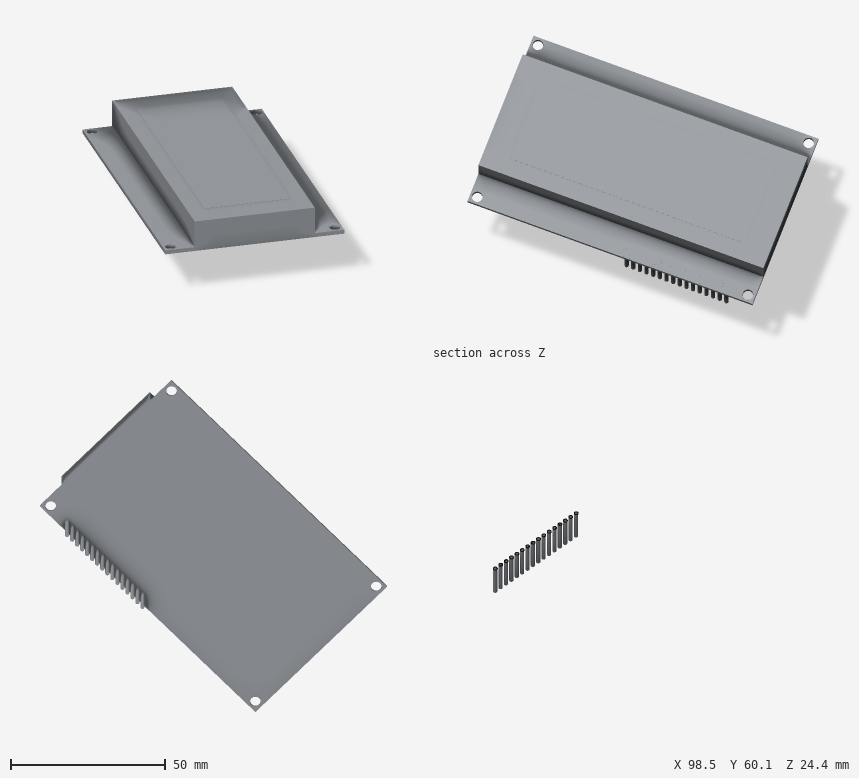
import cadquery as cq

BOARD_LENGTH = 98.5
BOARD_WIDTH = 60.1
BOARD_THICKNESS = 1.4

HOUSING_WIDTH = 40.3
HOUSING_HEIGHT = 9.1
WINDOW_LENGTH = 81.0
WINDOW_WIDTH = 28.8
WINDOW_HEIGHT = 0.1

PAD_HEIGHT = 0.02

HOLE_DIAMETER = 3.4
HOLE_PAD_DIAMETER = 4.1
EDGE_OFFSET = 2.5

PIN_COUNT = 16
PIN_ROW_LENGTH = 34.5
PIN_PITCH = PIN_ROW_LENGTH / (PIN_COUNT - 1)
PIN_DIAMETER = 1.4
PIN_LENGTH = 13.8
FIRST_PIN_OFFSET = 9.9

PIN_PAD_LENGTH = 2.0
PIN_PAD_WIDTH = 3.3
PIN_PAD_SHIFT = 0.4

first_pin_x = FIRST_PIN_OFFSET - BOARD_LENGTH / 2
row_y = BOARD_WIDTH / 2 - EDGE_OFFSET
hole_x = BOARD_LENGTH / 2 - EDGE_OFFSET

pin_centres = [(first_pin_x + i * PIN_PITCH, row_y) for i in range(PIN_COUNT)]
hole_centres = [(sx * hole_x, sy * row_y) for sx in (-1, 1) for sy in (-1, 1)]


def board_top():
    return cq.Workplane("XY", origin=(0, 0, BOARD_THICKNESS))


def make_board():
    return cq.Workplane("XY").rect(BOARD_LENGTH, BOARD_WIDTH).extrude(BOARD_THICKNESS)


def make_housing():
    body = board_top().rect(BOARD_LENGTH, HOUSING_WIDTH).extrude(HOUSING_HEIGHT)
    return body.faces(">Z").workplane().rect(WINDOW_LENGTH, WINDOW_WIDTH).extrude(WINDOW_HEIGHT)


def make_hole_pads():
    return board_top().pushPoints(hole_centres).circle(HOLE_PAD_DIAMETER / 2).extrude(PAD_HEIGHT)


def make_mounting_holes():
    depth = BOARD_THICKNESS + PAD_HEIGHT
    return cq.Workplane("XY").pushPoints(hole_centres).circle(HOLE_DIAMETER / 2).extrude(depth)


def make_pin_pads():
    pad_centres = [(x, y + PIN_PAD_SHIFT) for x, y in pin_centres]
    pads = board_top().pushPoints(pad_centres).rect(PIN_PAD_LENGTH, PIN_PAD_WIDTH).extrude(PAD_HEIGHT)
    pin_openings = board_top().pushPoints(pin_centres).circle(PIN_DIAMETER / 2).extrude(PAD_HEIGHT)
    return pads.cut(pin_openings)


def make_pins():
    return cq.Workplane("XY").pushPoints(pin_centres).circle(PIN_DIAMETER / 2).extrude(-PIN_LENGTH)


result = (
    make_board()
    .union(make_housing())
    .union(make_hole_pads())
    .cut(make_mounting_holes())
    .union(make_pin_pads())
    .union(make_pins())
)